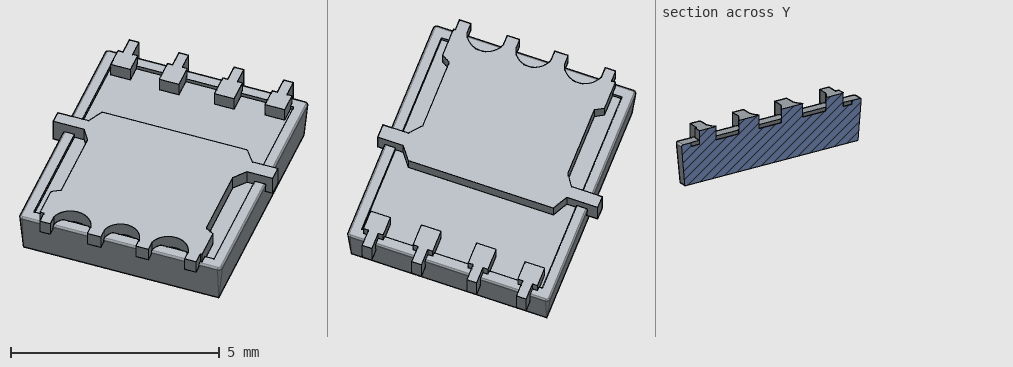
import cadquery as cq
import math

body_width = 5.185
body_depth = 6.085
body_height = 1.1
wall_draft = 5.0
edge_round = 0.045

rim_width = 0.29
recess_depth = 0.1

overall_depth = 6.53

metal_top = 1.35
recess_floor = body_height - recess_depth
metal_thickness = metal_top - recess_floor

lead_end = 3.29
lead_neck_width = 0.25
lead_pad_width = 0.5
lead_shoulder = 2.855
outer_lead_offset = 1.97
inner_lead_offset = 0.705
outer_pad_end = 2.35
inner_pad_end = 2.28
lead_foot_height = 0.6

left_tab_end = -2.85
right_tab_end = 2.76
tab_front = 0.06
left_tab_rear = 0.37
right_tab_rear = 0.42
left_tab_height = 0.6
right_tab_height = 0.5

plate_half_width = 1.855
plate_rear = 0.76
left_tab_root = -2.06
right_tab_root = 2.11
waist_rear = -0.25
waist_front = -2.075
flare_half_width = 2.07
flare_rear = -2.2
flare_front = -2.95

toes = [(-1.97, -1.705), (-0.76, -0.41), (0.48, 0.8), (1.73, 2.025)]
toe_end = lead_end - overall_depth
arch_foot = -2.98
arch_crown = -2.63


def block(x_min, x_max, y_min, y_max, z_min, z_max):
    """Box given by its limits on each axis."""
    size = (x_max - x_min, y_max - y_min, z_max - z_min)
    return cq.Workplane("XY").box(*size, centered=False).translate((x_min, y_min, z_min))


def make_body():
    """Tapered, rounded block with the recess in its top."""
    base_inset = body_height * math.tan(math.radians(wall_draft))
    block_body = (
        cq.Workplane("XY")
        .rect(body_width - 2 * base_inset, body_depth - 2 * base_inset)
        .extrude(body_height, taper=-wall_draft)
        .edges()
        .fillet(edge_round)
    )
    recess = (
        cq.Workplane("XY")
        .workplane(offset=recess_floor)
        .rect(body_width - 2 * rim_width, body_depth - 2 * rim_width)
        .extrude(metal_thickness)
    )
    return block_body.cut(recess)


def make_lead(x, pad_end):
    """Rear lead centred on the given X; the inner part of its foot merges with the body wall."""
    half_pad = lead_pad_width / 2
    half_neck = lead_neck_width / 2
    pad = block(x - half_pad, x + half_pad, pad_end, lead_shoulder, recess_floor, metal_top)
    foot_bottom = metal_top - lead_foot_height
    neck_and_foot = block(x - half_neck, x + half_neck, lead_shoulder, lead_end, foot_bottom, metal_top)
    return pad.union(neck_and_foot)


def make_plate():
    """Plate with side tabs, flared front and arched gaps between its toes."""
    outline = (
        cq.Workplane("XY")
        .workplane(offset=recess_floor)
        .moveTo(-plate_half_width, plate_rear)
        .lineTo(left_tab_root, left_tab_rear)
        .lineTo(left_tab_end, left_tab_rear)
        .lineTo(left_tab_end, tab_front)
        .lineTo(left_tab_root, tab_front)
        .lineTo(-plate_half_width, waist_rear)
        .lineTo(-plate_half_width, waist_front)
        .lineTo(-flare_half_width, flare_rear)
        .lineTo(-flare_half_width, flare_front)
        .lineTo(toes[0][0], flare_front)
    )
    for toe, next_toe in zip(toes, toes[1:]):
        left, right = toe
        next_left = next_toe[0]
        outline = (
            outline.lineTo(left, toe_end)
            .lineTo(right, toe_end)
            .lineTo(right, arch_foot)
            .threePointArc(((right + next_left) / 2, arch_crown), (next_left, arch_foot))
        )
    last_left, last_right = toes[-1]
    outline = (
        outline.lineTo(last_left, toe_end)
        .lineTo(last_right, toe_end)
        .lineTo(last_right, flare_front)
        .lineTo(flare_half_width, flare_front)
        .lineTo(flare_half_width, flare_rear)
        .lineTo(plate_half_width, waist_front)
        .lineTo(plate_half_width, waist_rear)
        .lineTo(right_tab_root, tab_front)
        .lineTo(right_tab_end, tab_front)
        .lineTo(right_tab_end, right_tab_rear)
        .lineTo(right_tab_root, right_tab_rear)
        .lineTo(plate_half_width, plate_rear)
        .close()
    )
    return outline.extrude(metal_thickness)


def make_tab_feet():
    """Side tab feet hanging beside the body; each reaches inwards into the rim to meet the sloping wall."""
    rim_inside = body_width / 2 - rim_width
    left_bottom = metal_top - left_tab_height
    right_bottom = metal_top - right_tab_height
    left = block(left_tab_end, -rim_inside, tab_front, left_tab_rear, left_bottom, metal_top)
    right = block(rim_inside, right_tab_end, tab_front, right_tab_rear, right_bottom, metal_top)
    return left.union(right)


result = make_body().union(make_plate()).union(make_tab_feet())
for side in (-1, 1):
    result = result.union(make_lead(side * outer_lead_offset, outer_pad_end))
    result = result.union(make_lead(side * inner_lead_offset, inner_pad_end))